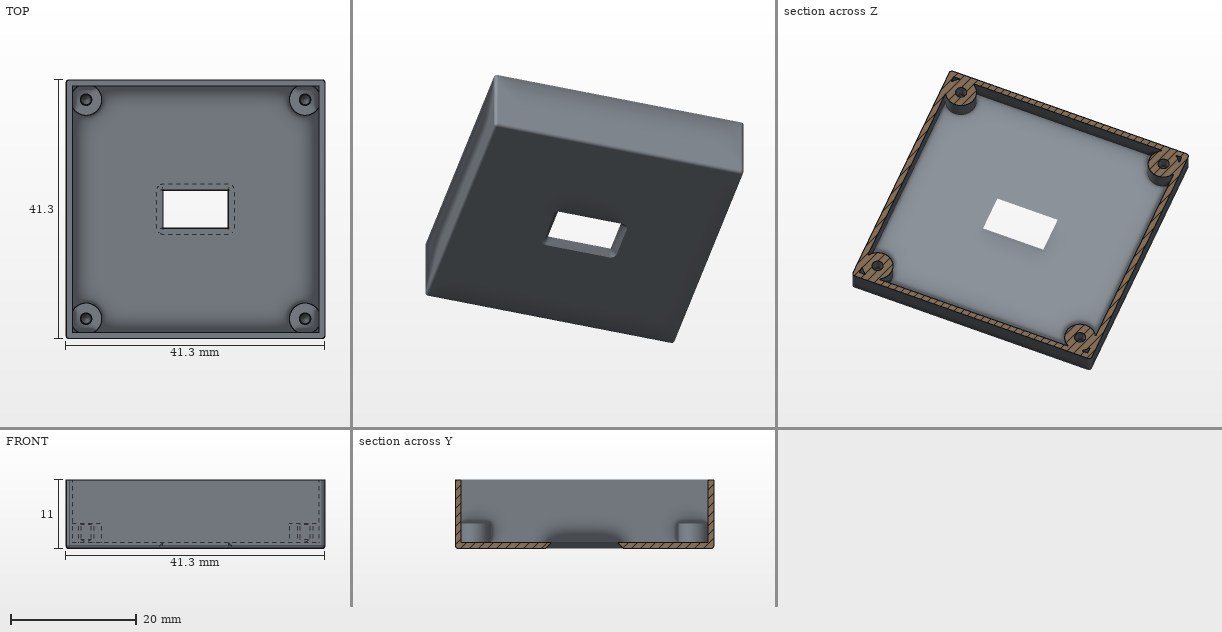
import cadquery as cq
import math

SIDE = 41.3
HEIGHT = 11.0
WALL = 1.0
FLOOR = 1.0
EDGE_RADIUS = 0.5
CAVITY_SIDE = SIDE - 2 * WALL

WINDOW_X = 10.4
WINDOW_Y = 6.0
WINDOW_FLARE_ANGLE = 45.0

BOSS_SPACING = 34.94
BOSS_DIAMETER = 5.0
BOSS_HEIGHT = 3.0
BOSS_TOP = FLOOR + BOSS_HEIGHT

PILOT_DIAMETER = 1.62
PILOT_DEPTH = BOSS_HEIGHT
PILOT_CHAMFER = 0.1
PILOT_POINT_ANGLE = 118.0


def make_tray():
    """Open box with rounded outer vertical corners and bottom edges."""
    body = cq.Workplane("XY").box(SIDE, SIDE, HEIGHT, centered=(True, True, False))
    body = body.edges("|Z or <Z").fillet(EDGE_RADIUS)
    cavity = (
        cq.Workplane("XY", origin=(0, 0, FLOOR))
        .rect(CAVITY_SIDE, CAVITY_SIDE)
        .extrude(HEIGHT - FLOOR)
    )
    return body.cut(cavity)


def at_boss_centres(shape):
    """Copies of a shape built on the Z axis, one at each boss position."""
    offset = BOSS_SPACING / 2
    copies = cq.Workplane("XY")
    for x in (-offset, offset):
        for y in (-offset, offset):
            copies = copies.add(shape.translate((x, y, 0)))
    return copies.combine()


def make_bosses():
    """Round bosses standing on the floor, each merging into two walls."""
    boss = (
        cq.Workplane("XY", origin=(0, 0, FLOOR))
        .circle(BOSS_DIAMETER / 2)
        .extrude(BOSS_HEIGHT)
    )
    return at_boss_centres(boss)


def make_pilot_holes():
    """Cutters for the blind drilled holes."""
    radius = PILOT_DIAMETER / 2
    point_length = radius / math.tan(math.radians(PILOT_POINT_ANGLE / 2))
    point_tip = BOSS_TOP - PILOT_DEPTH
    drill = (
        cq.Workplane("XZ")
        .moveTo(0, BOSS_TOP)
        .lineTo(radius + PILOT_CHAMFER, BOSS_TOP)
        .lineTo(radius, BOSS_TOP - PILOT_CHAMFER)
        .lineTo(radius, point_tip + point_length)
        .lineTo(0, point_tip)
        .close()
        .revolve(360, (0, 0, 0), (0, 1, 0))
    )
    return at_boss_centres(drill)


def make_window():
    """Cutter for the floor opening, flaring outwards towards the underside."""
    return (
        cq.Workplane("XY", origin=(0, 0, FLOOR))
        .rect(WINDOW_X, WINDOW_Y)
        .extrude(-FLOOR, taper=-WINDOW_FLARE_ANGLE)
    )


result = make_tray().union(make_bosses()).cut(make_pilot_holes()).cut(make_window())